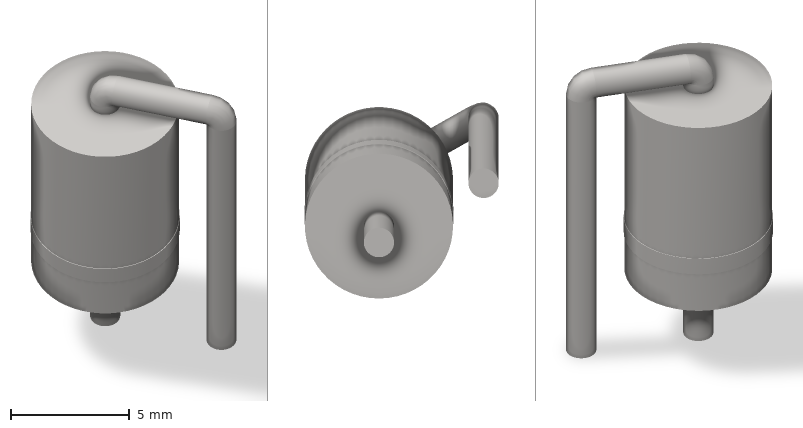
import cadquery as cq
import math

total_height = 14.27
wire_diameter = 1.27
wire_radius = wire_diameter / 2
lead_spacing = 5.08
bend_radius = 0.49

body_diameter = 6.22
body_bottom = 3.3
body_top = 12.7
band_diameter = 6.28
band_bottom = 5.2
band_top = 6.0

bridge_height = total_height - wire_radius
bend_height = bridge_height - bend_radius


def upright_cylinder(diameter, bottom, top, x=0.0):
    """Vertical cylinder between two heights."""
    return (
        cq.Workplane("XY", origin=(x, 0, bottom))
        .circle(diameter / 2)
        .extrude(top - bottom)
    )


def left_bend():
    """Quarter turn of the wire, its section cut off at the bend axis."""
    half_chord = math.sqrt(wire_radius**2 - bend_radius**2)
    return (
        cq.Workplane("XY", origin=(0, 0, bend_height))
        .moveTo(bend_radius, -half_chord)
        .threePointArc((-wire_radius, 0), (bend_radius, half_chord))
        .close()
        .revolve(90, (bend_radius, -0.14, 0), (bend_radius, 0.14, 0))
    )


def right_bend():
    """Mirror image of the left bend, moved onto the return lead."""
    return left_bend().mirror("YZ").translate((lead_spacing, 0, 0))


body = upright_cylinder(body_diameter, body_bottom, body_top)
band = upright_cylinder(band_diameter, band_bottom, band_top)

straight_lead = upright_cylinder(wire_diameter, 0, bend_height)
return_lead = upright_cylinder(wire_diameter, 0, bend_height, lead_spacing)

bridge = (
    cq.Workplane("YZ", origin=(bend_radius, 0, bridge_height))
    .circle(wire_radius)
    .extrude(lead_spacing - 2 * bend_radius)
)

result = body.union(band)
for wire_piece in (straight_lead, left_bend(), bridge, right_bend(), return_lead):
    result = result.union(wire_piece)